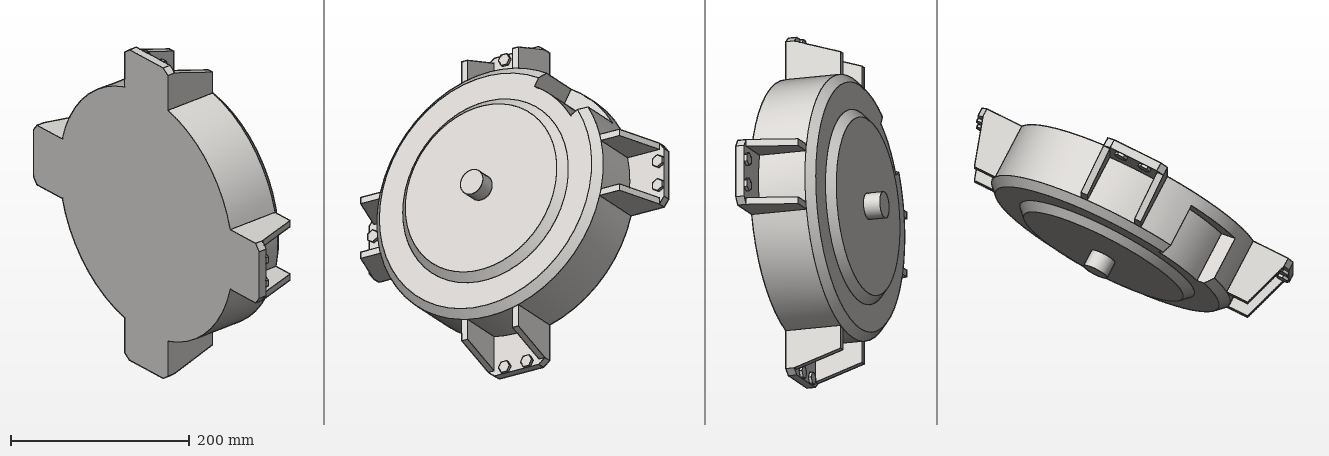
import cadquery as cq
import math

overall_span = 390.5
overall_depth = 104.0

body_radius = 150.0
body_wall_height = 65.5
step_chamfer = 9.5
body_height = body_wall_height + step_chamfer
cover_radius = 109.7
cover_height = body_height + step_chamfer
shaft_radius = 15.0

tab_count = 4
tab_reach = overall_span / 2
tab_width = 75.0
tab_thickness = 10.0
tab_corner_across = 8.2
tab_corner_along = 6.2

rib_thickness = 8.0
rib_top_reach = 171.5
rib_foot_reach = tab_reach - tab_corner_along

bolt_head_flats = 13.0
bolt_head_height = 3.5
bolt_spacing = 29.3
bolt_reach = 188.5

pocket_angle = 135.0
pocket_sweep = 30.0
pocket_base = 14.5
pocket_floor_radius = 130.0


def around_axis(shape, angle):
    return shape.rotate((0, 0, 0), (0, 0, 1), angle)


def make_housing():
    """Revolved body, cover and shaft, rising along +Z from the mounting face."""
    profile = [
        (0, 0),
        (body_radius, 0),
        (body_radius, body_wall_height),
        (body_radius - step_chamfer, body_height),
        (cover_radius, body_height),
        (cover_radius - step_chamfer, cover_height),
        (shaft_radius, cover_height),
        (shaft_radius, overall_depth),
        (0, overall_depth),
    ]
    return cq.Workplane("XZ").polyline(profile).close().revolve(360, (0, 0), (0, 1))


def make_pocket_cutter():
    """Ring sector with radial end walls and a cylindrical floor, open at the top."""
    half_sweep = math.radians(pocket_sweep / 2)
    sector_length = 2 * body_radius
    sector_half_width = sector_length * math.tan(half_sweep)
    depth = body_height - pocket_base
    base_plane = cq.Workplane("XY", origin=(0, 0, pocket_base))
    sector = (
        base_plane
        .polyline([(0, 0), (sector_length, -sector_half_width), (sector_length, sector_half_width)])
        .close()
        .extrude(depth)
    )
    core = base_plane.circle(pocket_floor_radius).extrude(depth)
    return around_axis(sector.cut(core), pocket_angle)


def make_tab():
    """Tab along +X with cut corners, two sloped ribs and two bolt heads."""
    half_width = tab_width / 2
    outline = [
        (0, -half_width),
        (tab_reach - tab_corner_along, -half_width),
        (tab_reach, -half_width + tab_corner_across),
        (tab_reach, half_width - tab_corner_across),
        (tab_reach - tab_corner_along, half_width),
        (0, half_width),
    ]
    tab = cq.Workplane("XY").polyline(outline).close().extrude(tab_thickness)

    rib_root = body_radius - step_chamfer
    rib_profile = [
        (rib_root, 0),
        (rib_foot_reach, 0),
        (rib_foot_reach, tab_thickness),
        (rib_top_reach, body_wall_height),
        (rib_root, body_wall_height),
    ]
    for side in (-1, 1):
        rib = (
            cq.Workplane("XZ")
            .polyline(rib_profile)
            .close()
            .extrude(rib_thickness / 2, both=True)
            .translate((0, side * (half_width - rib_thickness / 2), 0))
        )
        tab = tab.union(rib)

    corner_diameter = bolt_head_flats / math.cos(math.pi / 6)
    for side in (-1, 1):
        bolt_head = (
            cq.Workplane("XY")
            .polygon(6, corner_diameter)
            .extrude(tab_thickness + bolt_head_height)
            .rotate((0, 0, 0), (0, 0, 1), 30)
            .translate((bolt_reach, side * bolt_spacing / 2, 0))
        )
        tab = tab.union(bolt_head)
    return tab


part = make_housing().cut(make_pocket_cutter())
tab = make_tab()
for index in range(tab_count):
    part = part.union(around_axis(tab, index * 360 / tab_count))

result = part.mirror("XY").rotate((0, 0, 0), (1, 0, 0), 90)